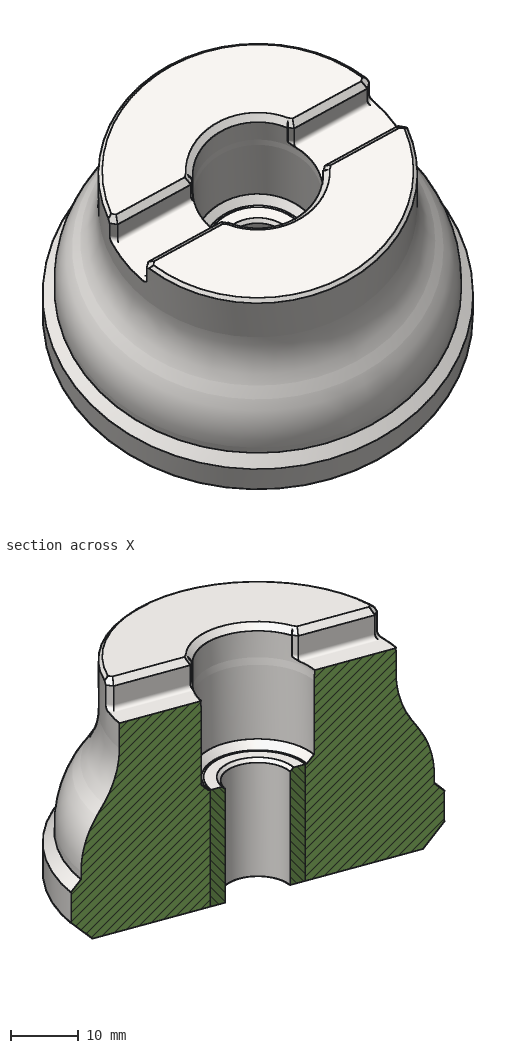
import cadquery as cq
import math

height = 40.0
rim_radius = 31.7
rim_bottom_chamfer = 3.7
rim_top_z = 8.8
belly_radius = 30.0
rim_shoulder_z = rim_top_z + rim_radius - belly_radius
belly_z = 11.85
neck_z = 30.8
neck_radius = 47.0 / 2
neck_chamfer = 0.6
arc_height = 8.55

bore_radius = 19.05 / 2
bore_entry_radius = 19.2 / 2
bore_entry_chamfer = 1.0
relief_top_z = 34.5
relief_bottom_z = 33.3
seat_z = 19.7
seat_radius = 8.3

bushing_radius = 16.0 / 2
bushing_hole_radius = 11.0 / 2
bushing_hole_chamfer = 0.6

slot_half_width = 4.05
slot_depth = 4.95
slot_top_chamfer = 1.0
slot_floor_fillet = 0.75
outer_flare_y = 22.15
inner_flare_y = 9.15
inner_flare = 0.65
slot_overrun = 25.4


def make_bell():
    """Solid of revolution with an S-shaped flank of two equal tangent arcs and a line."""
    line_height = neck_z - belly_z - 2 * arc_height
    radius_drop = belly_radius - neck_radius
    t = radius_drop / (2 * arc_height)
    for _ in range(30):
        line_drop = line_height * 2 * t / (1 - t**2)
        t = (radius_drop - line_drop) / (2 * arc_height)
    flank_angle = 2 * math.atan(t)
    arc_radius = arc_height / math.sin(flank_angle)
    arc_drop = arc_height * t
    mid_rise = arc_radius * math.sin(flank_angle / 2)
    mid_drop = arc_radius * (1 - math.cos(flank_angle / 2))
    return (
        cq.Workplane("XZ")
        .moveTo(0, 0)
        .lineTo(rim_radius - rim_bottom_chamfer, 0)
        .lineTo(rim_radius, rim_bottom_chamfer)
        .lineTo(rim_radius, rim_top_z)
        .lineTo(belly_radius, rim_shoulder_z)
        .lineTo(belly_radius, belly_z)
        .threePointArc(
            (belly_radius - mid_drop, belly_z + mid_rise),
            (belly_radius - arc_drop, belly_z + arc_height),
        )
        .lineTo(neck_radius + arc_drop, neck_z - arc_height)
        .threePointArc((neck_radius + mid_drop, neck_z - mid_rise), (neck_radius, neck_z))
        .lineTo(neck_radius, height - neck_chamfer)
        .lineTo(neck_radius - neck_chamfer, height)
        .lineTo(0, height)
        .close()
        .revolve(360, (0, 0, 0), (0, 1, 0))
    )


def make_bore():
    """Stepped through bore, with a conical seat above the bushing hole."""
    profile = [
        (0, 0),
        (bushing_radius, 0),
        (bushing_radius, seat_z),
        (seat_radius, seat_z),
        (bore_radius, seat_z + bore_radius - seat_radius),
        (bore_radius, relief_bottom_z),
        (bore_entry_radius, relief_top_z),
        (bore_entry_radius, height - bore_entry_chamfer),
        (bore_entry_radius + bore_entry_chamfer, height),
        (0, height),
    ]
    return cq.Workplane("XZ").polyline(profile).close().revolve(360, (0, 0, 0), (0, 1, 0))


def make_slot():
    """Slot through the neck, flared at its ends, with a rounded floor and chamfered top."""
    bore_width = slot_half_width + inner_flare
    end_width = slot_half_width + slot_overrun - outer_flare_y
    quarter = [
        (bore_width, inner_flare_y - inner_flare),
        (slot_half_width, inner_flare_y),
        (slot_half_width, outer_flare_y),
        (end_width, slot_overrun),
    ]
    half = quarter + [(-x, y) for x, y in reversed(quarter)]
    outline = half + [(-x, -y) for x, y in half]
    channel = (
        cq.Workplane("XY", origin=(0, 0, height - slot_depth))
        .polyline(outline)
        .close()
        .extrude(slot_depth)
        .faces("<Z")
        .edges("not #Y")
        .fillet(slot_floor_fillet)
    )
    top_chamfer = (
        cq.Workplane("XY", origin=(0, 0, height - slot_top_chamfer))
        .polyline(outline)
        .close()
        .extrude(slot_top_chamfer, taper=-45)
    )
    return channel.union(top_chamfer)


def make_housing():
    return make_bell().cut(make_bore()).cut(make_slot())


def make_bushing():
    """Plain bushing with a chamfered hole, flush with the housing base."""
    profile = [
        (bushing_hole_radius, 0),
        (bushing_radius, 0),
        (bushing_radius, seat_z),
        (bushing_hole_radius + bushing_hole_chamfer, seat_z),
        (bushing_hole_radius, seat_z - bushing_hole_chamfer),
    ]
    return cq.Workplane("XZ").polyline(profile).close().revolve(360, (0, 0, 0), (0, 1, 0))


housing = make_housing()
bushing = make_bushing()
result = cq.Compound.makeCompound([housing.val(), bushing.val()])